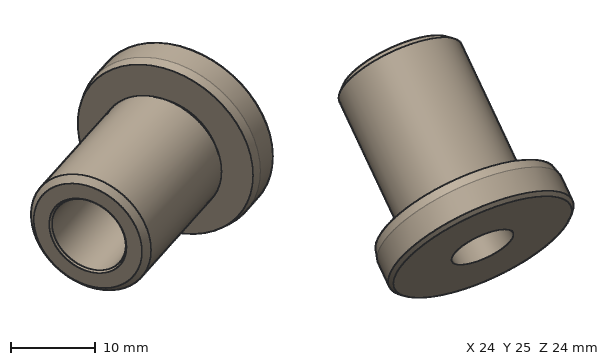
import cadquery as cq
import math

length = 25.0
head_radius = 12.0
head_thickness = 5.0
head_back_chamfer = 0.48
head_taper_length = 1.2
head_taper_angle = 15.0
shank_radius = 8.0
shank_chamfer = 0.8
neck_length = 1.0
neck_depth = 0.8

bore_radius = 4.9
bore_chamfer = 0.25
throat_radius = 4.0
seat_angle = 59.0
throat_length = head_thickness

tip_y = -length / 2
back_y = length / 2
head_front_y = back_y - head_thickness
shank_end_y = head_front_y - neck_length
throat_y = back_y - throat_length
seat_length = (bore_radius - throat_radius) / math.tan(math.radians(seat_angle))

head_taper_depth = head_taper_length * math.tan(math.radians(head_taper_angle))
neck_radius = shank_radius - neck_depth

outer_profile = [
    (shank_radius - shank_chamfer, tip_y),
    (shank_radius, tip_y + shank_chamfer),
    (shank_radius, shank_end_y),
    (neck_radius, shank_end_y),
    (neck_radius, head_front_y),
    (head_radius - head_taper_depth, head_front_y),
    (head_radius, head_front_y + head_taper_length),
    (head_radius, back_y - head_back_chamfer),
    (head_radius - head_back_chamfer, back_y),
]
bore_profile = [
    (throat_radius, back_y),
    (throat_radius, throat_y),
    (bore_radius, throat_y - seat_length),
    (bore_radius, tip_y + bore_chamfer),
    (bore_radius + bore_chamfer, tip_y),
]

result = (
    cq.Workplane("XY")
    .polyline(outer_profile + bore_profile)
    .close()
    .revolve(360, (0, 0, 0), (0, 1, 0))
)